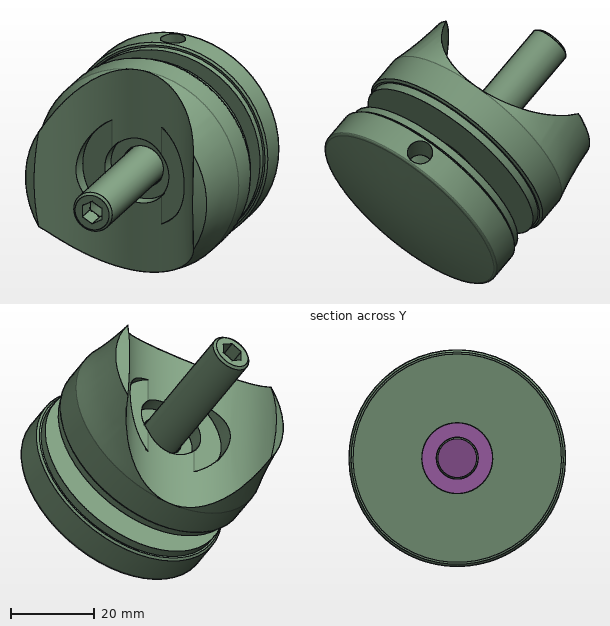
import cadquery as cq
import math


outer_dia = 52.0
edge_chamfer = 0.5

base_height = 8.0
skirt_height = 14.25
skirt_end_radius = 23.5
skirt_mid_radius = 24.4
tip_angle = 30.0
saddle_radius = 21.2
spotface_dia = 28.05
spotface_depth = 1.0
counterbore_dia = 16.6
counterbore_depth = 4.0
clearance_dia = 10.5

washer_dia = 50.0
washer_thickness = 2.0
panel_gap = 6.0

cap_height = 8.0
cap_edge_radius = 0.5
dome_rise = 2.9
boss_dia = 17.05
pin_hole_dia = 6.0
pin_hole_depth = 8.2
drill_point_angle = 118.0

screw_dia = 10.0
screw_length = 45.0
screw_projection = 29.5
screw_chamfer = 0.6
hex_across_flats = 5.0
hex_depth = 5.0
hex_half_angle = 30.0

outer_radius = outer_dia / 2
spotface_y = -spotface_depth
counterbore_y = spotface_y + counterbore_depth
base_washer_y = base_height
panel_y = base_washer_y + washer_thickness
cap_washer_y = panel_y + panel_gap
cap_y = cap_washer_y + washer_thickness
dome_y = cap_y + cap_height
screw_end_y = -screw_projection
screw_tip_y = screw_end_y + screw_length
along_y = cq.Vector(0, 1, 0)


def cylinder_y(diameter, start_y, end_y):
    """Cylinder on the Y axis between two heights."""
    start = cq.Vector(0, start_y, 0)
    return cq.Workplane(cq.Solid.makeCylinder(diameter / 2, end_y - start_y, start, along_y))


def drill_point_height(diameter):
    """Height of the conical bottom that a drill of this diameter leaves."""
    return diameter / 2 / math.tan(math.radians(drill_point_angle / 2))


def make_base():
    """Saddle base: a cylinder with a concave flared skirt, hollowed to sit on a tube along Z."""
    apex_y = -skirt_height - skirt_end_radius * math.tan(math.radians(tip_angle))
    blank = (
        cq.Workplane("XY")
        .moveTo(0, apex_y)
        .lineTo(skirt_end_radius, -skirt_height)
        .threePointArc((skirt_mid_radius, -skirt_height / 2), (outer_radius, 0))
        .lineTo(outer_radius, base_height - edge_chamfer)
        .lineTo(outer_radius - edge_chamfer, base_height)
        .lineTo(0, base_height)
        .close()
        .revolve(360, (0, 0, 0), (0, 1, 0))
        .rotate((0, 0, 0), (0, 1, 0), -90)
    )
    tube = cq.Workplane("XY").center(0, -saddle_radius).circle(saddle_radius).extrude(outer_dia, both=True)
    spotface = cylinder_y(spotface_dia, apex_y, spotface_y)
    counterbore = cylinder_y(counterbore_dia, apex_y, counterbore_y)
    clearance = cylinder_y(clearance_dia, apex_y, base_height)
    return blank.cut(tube).cut(spotface).cut(counterbore).cut(clearance)


def make_washer(start_y):
    """Flat washer that fits around the boss of the cap."""
    end_y = start_y + washer_thickness
    return cylinder_y(washer_dia, start_y, end_y).cut(cylinder_y(boss_dia, start_y, end_y))


def make_pin_hole():
    """Radial blind hole in the rim of the cap, drilled down from its +Z side."""
    point_z = outer_radius - pin_hole_depth
    radius = pin_hole_dia / 2
    return (
        cq.Workplane("XZ")
        .moveTo(0, point_z - drill_point_height(pin_hole_dia))
        .lineTo(radius, point_z)
        .lineTo(radius, outer_radius)
        .lineTo(0, outer_radius)
        .close()
        .revolve(360, (0, 0, 0), (0, 1, 0))
        .translate((0, cap_y + cap_height / 2, 0))
    )


def make_cap():
    """Domed cap with a boss that passes through both washers to the base and takes the screw."""
    dome_radius = outer_radius - cap_edge_radius
    sphere_radius = (dome_radius**2 + dome_rise**2) / (2 * dome_rise)
    mid_radius = dome_radius / 2
    mid_y = dome_y + dome_rise - sphere_radius + math.sqrt(sphere_radius**2 - mid_radius**2)
    arc_offset = cap_edge_radius * math.sqrt(0.5)
    blank = (
        cq.Workplane("XY")
        .moveTo(0, cap_y)
        .lineTo(outer_radius - edge_chamfer, cap_y)
        .lineTo(outer_radius, cap_y + edge_chamfer)
        .lineTo(outer_radius, dome_y - cap_edge_radius)
        .threePointArc(
            (dome_radius + arc_offset, dome_y - cap_edge_radius + arc_offset),
            (dome_radius, dome_y),
        )
        .threePointArc((mid_radius, mid_y), (0, dome_y + dome_rise))
        .close()
        .revolve(360, (0, 0, 0), (0, 1, 0))
    )
    boss = cylinder_y(boss_dia, base_height, cap_y)
    screw_hole = cylinder_y(screw_dia, base_height, screw_tip_y)
    return blank.union(boss).cut(screw_hole).cut(make_pin_hole())


def make_screw():
    """Set screw with chamfered ends and a hexagon socket with a drilled bottom."""
    rod = cylinder_y(screw_dia, screw_end_y, screw_tip_y)
    rod = rod.faces("<Y or >Y").chamfer(screw_chamfer)
    corner_dia = hex_across_flats / math.cos(math.radians(hex_half_angle))
    socket = (
        cq.Workplane("XZ", origin=(0, screw_end_y, 0))
        .transformed(rotate=(0, 0, hex_half_angle))
        .polygon(6, corner_dia)
        .extrude(-hex_depth)
    )
    point = cq.Solid.makeCone(
        corner_dia / 2,
        0,
        drill_point_height(corner_dia),
        cq.Vector(0, screw_end_y + hex_depth, 0),
        along_y,
    )
    return rod.cut(socket).cut(cq.Workplane(point))


base = make_base()
washers = [make_washer(start_y) for start_y in (base_washer_y, cap_washer_y)]
cap = make_cap()
screw = make_screw()

result = cq.Compound.makeCompound([base.val(), *[washer.val() for washer in washers], cap.val(), screw.val()])